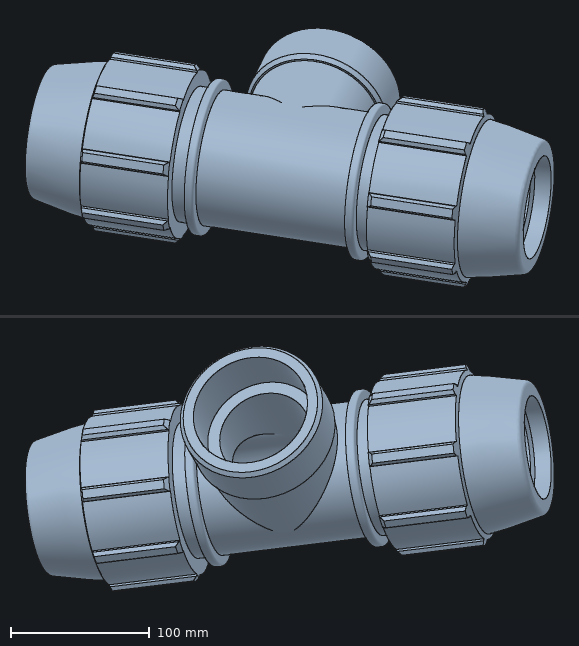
import cadquery as cq
import math

LENGTH = 370.0
HALF_LENGTH = LENGTH / 2
BODY_DIAMETER = 99.0
BORE_DIAMETER = 67.5
MOUTH_DIAMETER = 75.0
MOUTH_DEPTH = 12.2
MOUTH_TAPER_LENGTH = 2.2

RING_DIAMETER = 114.7
RING_WIDTH = 7.0
RING_FILLET = 2.0
RING_OFFSET = 60.0

NUT_DIAMETER = 123.2
NUT_LENGTH = 67.0
NOSE_LENGTH = 43.5
NOSE_TIP_DIAMETER = 97.5
NOSE_BASE_DIAMETER = 115.5
NOSE_BULGE = 0.7
NOSE_FILLET = 3.7

RIB_COUNT = 8
RIB_WIDTH = 10.5
RIB_ROOT_RADIUS = 59.2
RIB_SHOULDER_RADIUS = 63.0
RIB_TIP_RADIUS = 66.0
RIB_TIP_WIDTH = 6.5
OUTER_FACE_ANGLE = 20.0
INNER_BEVEL = 3.5

BRANCH_DIAMETER = 97.5
BRANCH_END = 110.0
SOCKET_DIAMETER = 106.2
SOCKET_LENGTH = 40.5
SOCKET_CHAMFER = 3.0
SOCKET_BORE_DIAMETER = 85.0

NOSE_BASE_X = -HALF_LENGTH + NOSE_LENGTH
NUT_INNER_X = NOSE_BASE_X + NUT_LENGTH


def cylinder_x(start, length, diameter):
    """Solid cylinder along +X from the given start."""
    return cq.Workplane("YZ", origin=(start, 0, 0)).circle(diameter / 2).extrude(length)


def cylinder_y(start, length, diameter):
    """Solid cylinder along +Y from the given start."""
    return cq.Workplane("XZ", origin=(0, start, 0)).circle(diameter / 2).extrude(-length)


def make_nose():
    """Slightly barrelled taper at the outer end of the left nut."""
    tip_radius = NOSE_TIP_DIAMETER / 2
    base_radius = NOSE_BASE_DIAMETER / 2
    middle = (
        (NOSE_BASE_X - HALF_LENGTH) / 2,
        (tip_radius + base_radius) / 2 + NOSE_BULGE,
    )
    nose = (
        cq.Workplane("XY")
        .moveTo(-HALF_LENGTH, 0)
        .lineTo(-HALF_LENGTH, tip_radius)
        .threePointArc(middle, (NOSE_BASE_X, base_radius))
        .lineTo(NOSE_BASE_X, 0)
        .close()
        .revolve(360, (0, 0, 0), (1, 0, 0))
    )
    return nose.faces("<X").edges().fillet(NOSE_FILLET)


def make_rib(angle):
    """Radial grip rib along the nut, with both flanks bevelled towards its tip."""
    rib = (
        cq.Workplane("YZ", origin=(NOSE_BASE_X, 0, 0))
        .moveTo(-RIB_WIDTH / 2, RIB_ROOT_RADIUS)
        .lineTo(RIB_WIDTH / 2, RIB_ROOT_RADIUS)
        .lineTo(RIB_WIDTH / 2, RIB_SHOULDER_RADIUS)
        .lineTo(RIB_TIP_WIDTH / 2, RIB_TIP_RADIUS)
        .lineTo(-RIB_TIP_WIDTH / 2, RIB_TIP_RADIUS)
        .lineTo(-RIB_WIDTH / 2, RIB_SHOULDER_RADIUS)
        .close()
        .extrude(NUT_LENGTH)
    )
    return rib.rotate((0, 0, 0), (1, 0, 0), angle)


def make_nut_envelope():
    """Revolved limit of the ribbed nut: shallow cone outside, bevel inside."""
    base_radius = NOSE_BASE_DIAMETER / 2
    rim_radius = math.hypot(RIB_TIP_RADIUS, RIB_TIP_WIDTH / 2)
    cone_depth = (rim_radius - base_radius) * math.tan(math.radians(OUTER_FACE_ANGLE))
    return (
        cq.Workplane("XY")
        .moveTo(NOSE_BASE_X, 0)
        .lineTo(NOSE_BASE_X, base_radius)
        .lineTo(NOSE_BASE_X + cone_depth, rim_radius)
        .lineTo(NUT_INNER_X - INNER_BEVEL, rim_radius)
        .lineTo(NUT_INNER_X, rim_radius - INNER_BEVEL)
        .lineTo(NUT_INNER_X, 0)
        .close()
        .revolve(360, (0, 0, 0), (1, 0, 0))
    )


def make_nut():
    """Left compression nut with its ribs and nose, still without a bore."""
    nut = cylinder_x(NOSE_BASE_X, NUT_LENGTH, NUT_DIAMETER)
    pitch = 360 / RIB_COUNT
    for index in range(RIB_COUNT):
        nut = nut.union(make_rib((index + 0.5) * pitch))
    return nut.intersect(make_nut_envelope()).union(make_nose())


def make_ring():
    """Left stop ring with rounded rims."""
    ring = cylinder_x(-RING_OFFSET - RING_WIDTH / 2, RING_WIDTH, RING_DIAMETER)
    return ring.edges().fillet(RING_FILLET)


def make_branch():
    """Branch pipe and its wider socket, chamfered on both rims."""
    socket = cylinder_y(BRANCH_END - SOCKET_LENGTH, SOCKET_LENGTH, SOCKET_DIAMETER)
    socket = socket.edges().chamfer(SOCKET_CHAMFER)
    return cylinder_y(0, BRANCH_END - SOCKET_LENGTH, BRANCH_DIAMETER).union(socket)


def make_mouth():
    """Wider mouth of the left nut, tapering down to the through bore."""
    return (
        cq.Workplane("XY")
        .moveTo(-HALF_LENGTH, 0)
        .lineTo(-HALF_LENGTH, MOUTH_DIAMETER / 2)
        .lineTo(-HALF_LENGTH + MOUTH_DEPTH, MOUTH_DIAMETER / 2)
        .lineTo(-HALF_LENGTH + MOUTH_DEPTH + MOUTH_TAPER_LENGTH, BORE_DIAMETER / 2)
        .lineTo(-HALF_LENGTH + MOUTH_DEPTH + MOUTH_TAPER_LENGTH, 0)
        .close()
        .revolve(360, (0, 0, 0), (1, 0, 0))
    )


def make_bores():
    """Through bore, the wider nut mouths, and the stepped branch bore."""
    mouth = make_mouth()
    run_bore = cylinder_x(-HALF_LENGTH, LENGTH, BORE_DIAMETER)
    run_bore = run_bore.union(mouth).union(mouth.mirror("YZ"))
    branch_bore = cylinder_y(0, BRANCH_END, BORE_DIAMETER)
    socket_bore = cylinder_y(BRANCH_END - SOCKET_LENGTH, SOCKET_LENGTH, SOCKET_BORE_DIAMETER)
    return run_bore.union(branch_bore).union(socket_bore)


run = cylinder_x(NUT_INNER_X, -2 * NUT_INNER_X, BODY_DIAMETER)
left_end = make_nut().union(make_ring())
right_end = left_end.mirror("YZ")
result = run.union(make_branch()).union(left_end).union(right_end).cut(make_bores())